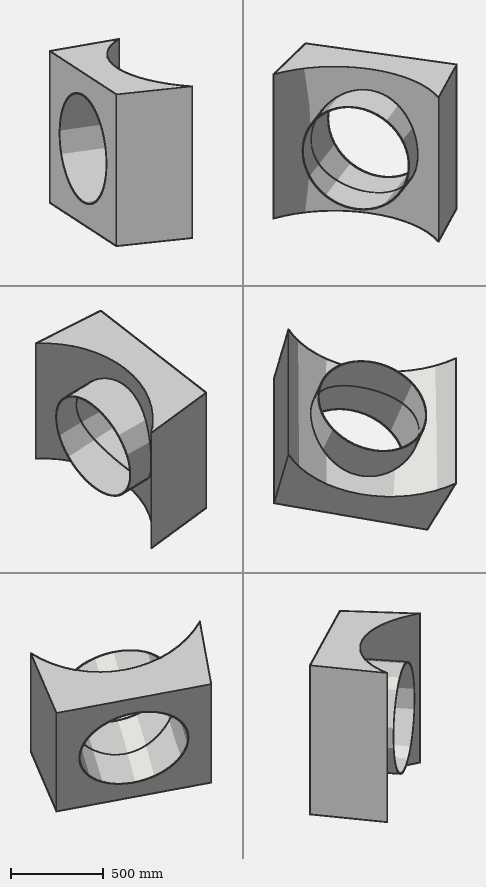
import cadquery as cq
import math

height = 860.0
front_width = 860.0
back_width = 940.0
saddle_radius = 596.0
saddle_axis_distance = 800.0

sleeve_bore_diameter = 600.0
sleeve_wall = 4.0
sleeve_outer_diameter = sleeve_bore_diameter + 2 * sleeve_wall
sleeve_length = 435.0

front_y = 0.0
saddle_center_y = front_y + saddle_axis_distance
saddle_bottom_y = saddle_center_y - saddle_radius
back_y = saddle_center_y - math.sqrt(saddle_radius**2 - (back_width / 2) ** 2)


def cylinder_along_y(diameter):
    """Cylinder on the Y axis, running the length of the sleeve from the front face."""
    return cq.Workplane("XZ", origin=(0, front_y, 0)).circle(diameter / 2).extrude(-sleeve_length)


def make_block():
    """Tapered block with a concave back and a bore that holds the sleeve."""
    body = (
        cq.Workplane("XY")
        .moveTo(-front_width / 2, front_y)
        .lineTo(front_width / 2, front_y)
        .lineTo(back_width / 2, back_y)
        .threePointArc((0, saddle_bottom_y), (-back_width / 2, back_y))
        .close()
        .extrude(height / 2, both=True)
    )
    return body.cut(cylinder_along_y(sleeve_outer_diameter))


def make_sleeve():
    """Straight open tube starting flush with the front face of the block."""
    return cylinder_along_y(sleeve_outer_diameter).cut(cylinder_along_y(sleeve_bore_diameter))


block = make_block()
sleeve = make_sleeve()

result = cq.Compound.makeCompound([block.val(), sleeve.val()])